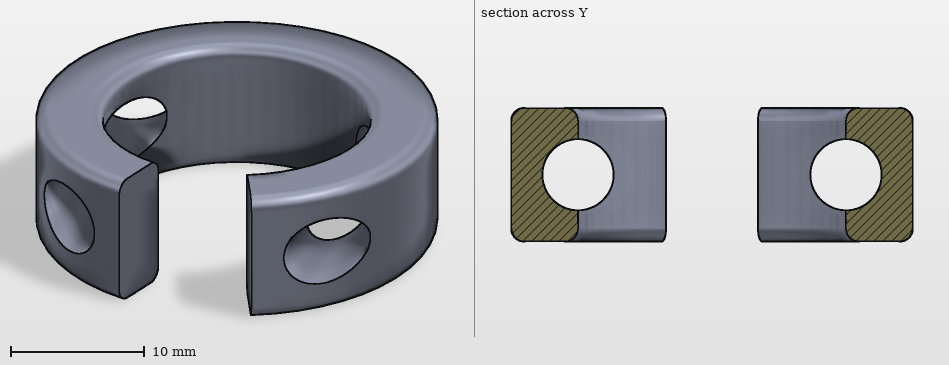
import cadquery as cq
import math

outer_diameter = 30.0
inner_diameter = 20.0
height = 10.0
edge_radius = 1.0
gap_angle = 40.0
hole_diameter = 5.3
hole_offset = 10.0

outer_radius = outer_diameter / 2
inner_radius = inner_diameter / 2


def rounded_ring():
    """Full ring about Z, centred on the origin, with its four circular edges rounded."""
    ring = cq.Workplane("XY").circle(outer_radius).circle(inner_radius).extrude(height / 2, both=True)
    return ring.faces("|Z").edges().fillet(edge_radius)


def gap_wedge():
    """Wedge from the ring axis toward -Y whose sides leave radial end faces."""
    depth = outer_diameter
    half_width = depth * math.tan(math.radians(gap_angle / 2))
    wedge = cq.Workplane("XY").polyline([(0, 0), (-half_width, -depth), (half_width, -depth)]).close()
    return wedge.extrude(height, both=True)


def cross_holes():
    """Two holes parallel to Y, one on each side of the ring axis."""
    centers = [(-hole_offset, 0), (hole_offset, 0)]
    start = cq.Workplane("XZ").workplane(offset=-outer_diameter)
    return start.pushPoints(centers).circle(hole_diameter / 2).extrude(2 * outer_diameter)


result = rounded_ring().cut(gap_wedge()).cut(cross_holes())